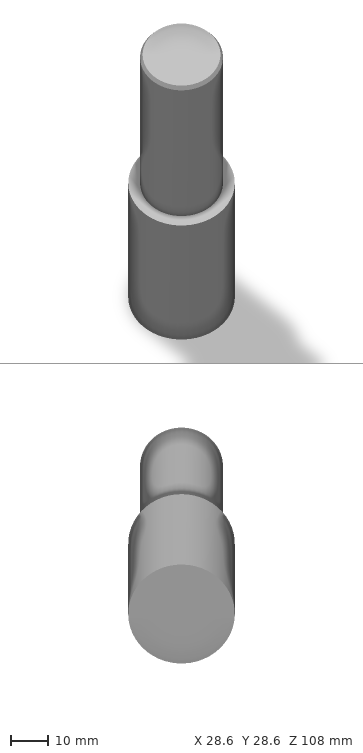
import cadquery as cq
import math

sleeve_diameter = 28.575
sleeve_length = 50.8
pin_diameter = 22.225
pin_length = 108.0
tip_chamfer_height = 1.2
tip_chamfer_angle = 30.0

pin_radius = pin_diameter / 2
sleeve_radius = sleeve_diameter / 2
tip_radius = pin_radius - tip_chamfer_height * math.tan(math.radians(tip_chamfer_angle))
tip_chamfer_base = pin_length - tip_chamfer_height


def make_pin():
    """Straight round pin standing on the base plane, with a steep chamfer around its upper end."""
    half_profile = (
        cq.Workplane("XZ")
        .lineTo(pin_radius, 0)
        .lineTo(pin_radius, tip_chamfer_base)
        .lineTo(tip_radius, pin_length)
        .lineTo(0, pin_length)
        .close()
    )
    return half_profile.revolve(360, (0, 0, 0), (0, 1, 0))


def make_sleeve():
    """Plain sleeve around the lower end of the pin, with a through bore that fits the pin."""
    ring = cq.Workplane("XY").circle(sleeve_radius).circle(pin_radius)
    return ring.extrude(sleeve_length)


pin = make_pin()
sleeve = make_sleeve()

result = cq.Compound.makeCompound([pin.val(), sleeve.val()])